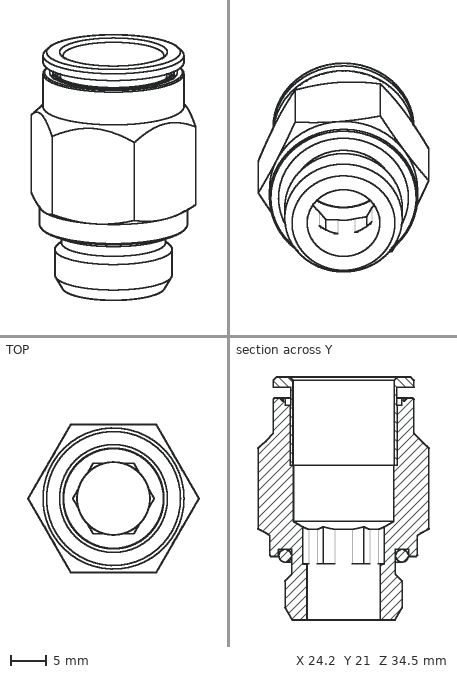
import cadquery as cq
import math


total_height = 34.5
body_height = 31.5
thread_chamfer_height = 1.8
thread_relief_z = 6.5
flange_bottom_z = 9.0
flange_height = 3.0
hex_bottom_z = flange_bottom_z + flange_height
collar_thickness = 1.5
hex_top_z = 26.5

body_diameter = 20.0
body_rim_chamfer = 0.2
hex_across_flats = 21.0
hex_across_corners = hex_across_flats / math.cos(math.radians(30))
hex_bottom_chamfer_angle = 30.0
flange_diameter = hex_across_flats
flange_chamfer = 0.2
relief_diameter = 14.75
thread_diameter = 16.66
thread_end_diameter = 14.6

groove_outer_diameter = 18.1
groove_inner_diameter = 17.2
groove_depth = (groove_outer_diameter - groove_inner_diameter) / 2

mouth_diameter = 16.5
mouth_depth = 1.0
sleeve_seat_z = 22.0
tube_seat_diameter = 14.15
tube_seat_z = 14.0
through_diameter = 10.3
socket_across_flats = 10.0
socket_across_corners = socket_across_flats / math.cos(math.radians(30))
socket_bottom_z = 8.0
seat_cone_angle = 30.0
seat_cone_depth = (tube_seat_diameter - socket_across_flats) / 2 * math.tan(math.radians(seat_cone_angle))

sleeve_diameter = 15.1
sleeve_bore_diameter = 14.3
sleeve_bore_chamfer_height = 0.5
sleeve_mouth_diameter = 15.3
collar_diameter = body_diameter
collar_chamfer = 0.5

seal_section_radius = 0.92
seal_bottom_z = 8.2
seal_center_z = seal_bottom_z + seal_section_radius
seal_center_radius = relief_diameter / 2 + seal_section_radius
seal_recess_diameter = relief_diameter + 4 * seal_section_radius
seal_recess_top_z = seal_center_z + seal_section_radius


def revolve_profile(points):
    """Solid of revolution about Z from a closed outline of (radius, z) points."""
    outline = cq.Workplane("XZ").polyline(points).close()
    return outline.revolve(360, (0, 0, 0), (0, 1, 0))


def cylinder(diameter, bottom_z, top_z):
    return cq.Workplane("XY").workplane(offset=bottom_z).circle(diameter / 2).extrude(top_z - bottom_z)


def hex_prism(across_corners, bottom_z, top_z):
    """Hexagonal prism with two of its corners on the X axis."""
    height = top_z - bottom_z
    return cq.Workplane("XY").workplane(offset=bottom_z).polygon(6, across_corners).extrude(height)


def ring(outer_diameter, inner_diameter, bottom_z, top_z):
    return cylinder(outer_diameter, bottom_z, top_z).cut(cylinder(inner_diameter, bottom_z, top_z))


def make_wrench_hex():
    """Hexagon with its corners turned off by a cone at each end."""
    corner_radius = hex_across_corners / 2
    top_drop = corner_radius - body_diameter / 2
    bottom_rise = (corner_radius - flange_diameter / 2) * math.tan(math.radians(hex_bottom_chamfer_angle))
    corner_cones = revolve_profile([
        (0, hex_bottom_z),
        (flange_diameter / 2, hex_bottom_z),
        (corner_radius, hex_bottom_z + bottom_rise),
        (corner_radius, hex_top_z - top_drop),
        (body_diameter / 2, hex_top_z),
        (0, hex_top_z),
    ])
    return hex_prism(hex_across_corners, hex_bottom_z, hex_top_z).intersect(corner_cones)


def make_threaded_end():
    """Thread envelope with its lead-in chamfer, the relief and the flange above it."""
    relief_radius = relief_diameter / 2
    thread_radius = thread_diameter / 2
    flange_radius = flange_diameter / 2
    return revolve_profile([
        (0, 0),
        (thread_end_diameter / 2, 0),
        (thread_radius, thread_chamfer_height),
        (thread_radius, thread_relief_z - (thread_radius - relief_radius)),
        (relief_radius, thread_relief_z),
        (relief_radius, flange_bottom_z),
        (flange_radius - flange_chamfer, flange_bottom_z),
        (flange_radius, flange_bottom_z + flange_chamfer),
        (flange_radius, hex_bottom_z),
        (0, hex_bottom_z),
    ])


def make_body_bore():
    """Stepped bore: mouth, sleeve seat, tube seat, cone and through hole."""
    cone_bottom_radius = socket_across_flats / 2
    stepped_bore = revolve_profile([
        (0, tube_seat_z - seat_cone_depth),
        (cone_bottom_radius, tube_seat_z - seat_cone_depth),
        (tube_seat_diameter / 2, tube_seat_z),
        (tube_seat_diameter / 2, sleeve_seat_z),
        (sleeve_diameter / 2, sleeve_seat_z),
        (sleeve_diameter / 2, body_height - mouth_depth),
        (mouth_diameter / 2, body_height - mouth_depth),
        (mouth_diameter / 2, body_height),
        (0, body_height),
    ])
    socket = hex_prism(socket_across_corners, socket_bottom_z, tube_seat_z)
    return stepped_bore.union(socket).union(cylinder(through_diameter, 0, tube_seat_z))


def make_top_groove():
    return revolve_profile([
        (groove_inner_diameter / 2, body_height),
        (groove_outer_diameter / 2, body_height),
        (groove_inner_diameter / 2, body_height - groove_depth),
    ])


def make_body():
    barrel = cylinder(body_diameter, hex_top_z, body_height).faces(">Z").edges().chamfer(body_rim_chamfer)
    outside = make_threaded_end().union(make_wrench_hex()).union(barrel)
    seal_recess = ring(seal_recess_diameter, relief_diameter, flange_bottom_z, seal_recess_top_z)
    return outside.cut(make_body_bore()).cut(make_top_groove()).cut(seal_recess)


def make_release_sleeve():
    collar_radius = collar_diameter / 2
    collar_bottom_z = total_height - collar_thickness
    return revolve_profile([
        (sleeve_bore_diameter / 2, sleeve_seat_z),
        (sleeve_diameter / 2, sleeve_seat_z),
        (sleeve_diameter / 2, collar_bottom_z),
        (collar_radius, collar_bottom_z),
        (collar_radius, total_height - collar_chamfer),
        (collar_radius - collar_chamfer, total_height),
        (sleeve_mouth_diameter / 2, total_height),
        (sleeve_bore_diameter / 2, total_height - sleeve_bore_chamfer_height),
    ])


def make_seal():
    section = cq.Workplane("XZ").center(seal_center_radius, seal_center_z).circle(seal_section_radius)
    return section.revolve(360, (-seal_center_radius, 0, 0), (-seal_center_radius, 1, 0))


body = make_body()
release_sleeve = make_release_sleeve()
seal = make_seal()

result = cq.Compound.makeCompound([body.val(), release_sleeve.val(), seal.val()])